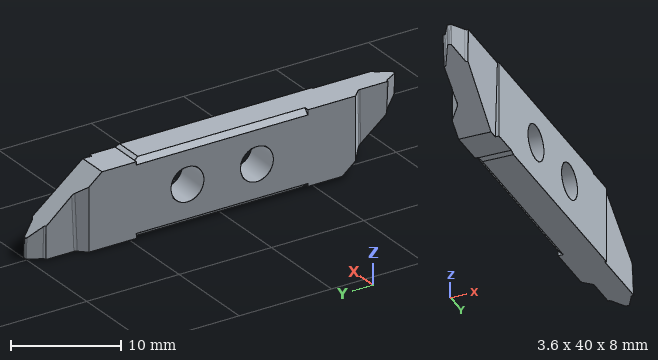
import cadquery as cq
import math

LENGTH = 40.0
WIDTH = 3.6
HEIGHT = 8.0
HALF_LENGTH = LENGTH / 2
HALF_WIDTH = WIDTH / 2
HALF_HEIGHT = HEIGHT / 2

TIP_HEIGHT = 2.05
RELIEF_ANGLE = 39.5
STEP_DEPTH = 0.2
STEP_START = 10.7
STEP_END = 11.2

TOOTH_X = 0.35
NECK_HALF_WIDTH = 1.3
TOOTH_LENGTH = 1.5
FLANK_ANGLE = 30.0
TIP_HALF_WIDTH = 0.2
TIP_RADIUS = 0.1
ROOT_RADIUS = 0.25
NECK_DRAFT = 1.5
OVERLAP = 0.4
FLANK_OVERLAP = 0.25
SIDE_STEP = 7.95
RAMP_INNER = 4.25
RAMP_OUTER = 5.55
RAMP_RADIUS = 0.4
MATCH = 0.005

HOLE_DIAMETER = 3.55
HOLE_SPACING = 7.5
CHAMFER = 0.5
CHAMFER_LENGTH = 2 * (HALF_LENGTH - STEP_START)


def turned(shape):
    """Half turn about X, carrying one end of the insert onto the other."""
    return shape.rotate((0, 0, 0), (1, 0, 0), 180)


def make_side_outline():
    """Parallelogram-like YZ outline, extruded across the full width."""
    plateau = HALF_HEIGHT - STEP_DEPTH
    rise = HEIGHT - STEP_DEPTH - TIP_HEIGHT
    relief_length = rise / math.tan(math.radians(RELIEF_ANGLE))
    half_outline = [
        (HALF_LENGTH, -HALF_HEIGHT),
        (HALF_LENGTH, TIP_HEIGHT - HALF_HEIGHT),
        (HALF_LENGTH - relief_length, plateau),
        (HALF_LENGTH - STEP_START, plateau),
        (HALF_LENGTH - STEP_END, HALF_HEIGHT),
    ]
    outline = half_outline + [(-y, -z) for y, z in half_outline]
    return cq.Workplane("YZ").polyline(outline).close().extrude(HALF_WIDTH, both=True)


def drafted_prism(half_outline, depth):
    """Prism mirrored about the tooth axis, narrowing downward from the cutting face."""
    outline = half_outline + [(-x, y) for x, y in reversed(half_outline)]
    return (
        cq.Workplane("XY", origin=(TOOTH_X, 0, HALF_HEIGHT))
        .polyline(outline)
        .close()
        .extrude(-depth, taper=NECK_DRAFT)
    )


def make_neck():
    """Neck and rounded tooth at the -Y end, before the clearance face is cut."""
    flank_slope = math.tan(math.radians(FLANK_ANGLE))
    root_half_width = TIP_HALF_WIDTH + TOOTH_LENGTH * flank_slope
    base_half_width = root_half_width + FLANK_OVERLAP * flank_slope
    shoulder_y = TOOTH_LENGTH - HALF_LENGTH
    inner_y = SIDE_STEP + OVERLAP - HALF_LENGTH
    bar = drafted_prism([(NECK_HALF_WIDTH, inner_y), (NECK_HALF_WIDTH, shoulder_y)], HEIGHT)
    tooth_outline = [
        (base_half_width, shoulder_y + FLANK_OVERLAP + OVERLAP),
        (base_half_width, shoulder_y + FLANK_OVERLAP),
        (TIP_HALF_WIDTH, -HALF_LENGTH),
    ]
    neck = bar.union(drafted_prism(tooth_outline, HALF_HEIGHT))

    root_edges = []
    tip_edges = []
    for edge in neck.edges().vals():
        top = max((vertex.Center() for vertex in edge.Vertices()), key=lambda point: point.z)
        is_upright = edge.BoundingBox().zlen > HALF_HEIGHT / 2
        offset = abs(top.x - TOOTH_X)
        if is_upright and math.isclose(offset, root_half_width, abs_tol=MATCH):
            root_edges.append(edge)
        if is_upright and math.isclose(offset, TIP_HALF_WIDTH, abs_tol=MATCH):
            tip_edges.append(edge)
    return neck.newObject(tip_edges).fillet(TIP_RADIUS).newObject(root_edges).fillet(ROOT_RADIUS)


def make_body():
    """Full-width middle with a ramp toward each neck on the -X side."""
    ramp_x = RAMP_OUTER - RAMP_INNER - HALF_WIDTH
    half_outline = [
        (HALF_WIDTH, SIDE_STEP - HALF_LENGTH),
        (TOOTH_X, SIDE_STEP - HALF_LENGTH),
        (TOOTH_X, RAMP_INNER - HALF_LENGTH),
        (ramp_x, RAMP_INNER - HALF_LENGTH),
        (-HALF_WIDTH, RAMP_OUTER - HALF_LENGTH),
    ]
    outline = half_outline + [(x, -y) for x, y in reversed(half_outline)]
    return cq.Workplane("XY").polyline(outline).close().extrude(HALF_HEIGHT, both=True)


def make_holes():
    """Two cross holes through the width."""
    return (
        cq.Workplane("YZ")
        .pushPoints([(-HOLE_SPACING / 2, 0), (HOLE_SPACING / 2, 0)])
        .circle(HOLE_DIAMETER / 2)
        .extrude(WIDTH, both=True)
    )


def make_edge_chamfer():
    """Cutter for the chamfer on the upper -X edge."""
    corner = [
        (-HALF_WIDTH, HALF_HEIGHT),
        (CHAMFER - HALF_WIDTH, HALF_HEIGHT),
        (-HALF_WIDTH, HALF_HEIGHT - CHAMFER),
    ]
    return cq.Workplane("XZ").polyline(corner).close().extrude(CHAMFER_LENGTH / 2, both=True)


def make_plan():
    """Body joined to both necks, with the ramps blended into the neck sides."""
    neck = make_neck()
    plan = make_body().union(neck).union(turned(neck))
    ramp_edges = []
    for edge in plan.edges().vals():
        middle = edge.Center()
        from_end = HALF_LENGTH - abs(middle.y)
        is_upright = edge.BoundingBox().zlen > HALF_HEIGHT
        if is_upright and middle.x < TOOTH_X and RAMP_INNER < from_end < RAMP_OUTER - MATCH:
            ramp_edges.append(edge)
    return plan.newObject(ramp_edges).fillet(RAMP_RADIUS)


chamfer = make_edge_chamfer()
result = make_side_outline().intersect(make_plan())
result = result.cut(make_holes()).cut(chamfer).cut(turned(chamfer))